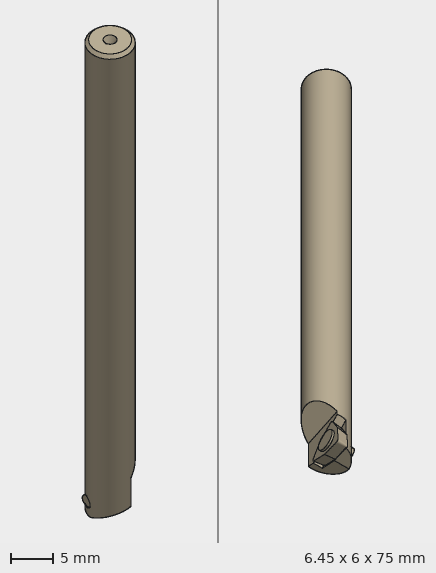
import cadquery as cq
import math

bar_radius = 3.0
bar_top = 75.0
bar_bottom = 0.4
top_chamfer = 0.45
center_hole_radius = 0.8
center_hole_angle = 60.0

gullet_face_y = 0.5
gullet_top = 9.0

relief_angle = 25.0
relief_top = 2.0

insert_face_y = 0.75
insert_floor_y = -0.79
nose_reach = 3.45
nose_radius = 0.4
nose_angle = 80.0
clearance_angle = 7.0
corner_radius = 3.2
nose_direction = 226.4
corner_count = 3

screw_radius = 0.8
head_radius = 1.4
head_face_y = 1.05
head_seat_y = -0.15
screw_end_y = -2.6

half_nose = math.radians(nose_angle / 2)
corner_step = 360 / corner_count
kink_radius = corner_radius * math.sin(half_nose) / math.sin(math.radians(corner_step / 2) + half_nose)
nose_center_distance = corner_radius - nose_radius / math.sin(half_nose)
nose_turn = math.radians(nose_direction)
insert_x = nose_radius - nose_reach - nose_center_distance * math.cos(nose_turn)
insert_z = nose_radius - nose_center_distance * math.sin(nose_turn)


def insert_point(radius, direction):
    """Point (x, z) at a polar position about the insert centre."""
    turn = math.radians(direction)
    return insert_x + radius * math.cos(turn), insert_z + radius * math.sin(turn)


def beyond(start, end, distance):
    """Point reached by going on past end, along the line from start."""
    length = math.dist(start, end)
    return tuple(e + (e - s) * distance / length for s, e in zip(start, end))


def plane_at(y):
    """XZ workplane at the given Y; extruding from it goes towards -Y."""
    return cq.Workplane("XZ", origin=(0, y, 0))


def cylinder_along_y(radius, y_from, y_to):
    """Cylinder on the insert axis, from y_from down to y_to."""
    return plane_at(y_from).center(insert_x, insert_z).circle(radius).extrude(y_from - y_to)


def make_screw():
    head = cylinder_along_y(head_radius, head_face_y, head_seat_y)
    return head.union(cylinder_along_y(screw_radius, head_seat_y, screw_end_y))


def make_insert():
    tangent_length = nose_radius / math.tan(half_nose)
    outline = None
    for i in range(corner_count):
        direction = nose_direction + i * corner_step
        corner = insert_point(corner_radius, direction)
        kink_before = insert_point(kink_radius, direction - corner_step / 2)
        kink_after = insert_point(kink_radius, direction + corner_step / 2)
        arc_start = beyond(kink_before, corner, -tangent_length)
        arc_middle = insert_point(nose_center_distance + nose_radius, direction)
        arc_end = beyond(kink_after, corner, -tangent_length)
        if outline is None:
            outline = plane_at(insert_face_y).moveTo(*arc_start)
        else:
            outline = outline.lineTo(*arc_start)
        outline = outline.threePointArc(arc_middle, arc_end).lineTo(*kink_after)
    body = outline.close().extrude(insert_face_y - insert_floor_y, taper=clearance_angle)
    head_recess = cylinder_along_y(head_radius, insert_face_y, head_seat_y)
    shank_hole = cylinder_along_y(screw_radius, insert_face_y, insert_floor_y)
    return body.cut(head_recess).cut(shank_hole)


def gullet_cutter():
    """Flat with a 45 degree run-out, cut from the +Y side."""
    depth = bar_radius - gullet_face_y
    return (
        cq.Workplane("YZ", origin=(-bar_radius, 0, 0))
        .moveTo(bar_radius, gullet_top)
        .lineTo(gullet_face_y, gullet_top - depth)
        .lineTo(gullet_face_y, 0)
        .lineTo(bar_radius, 0)
        .close()
        .extrude(2 * bar_radius)
    )


def relief_cutter():
    drop = 2 * bar_radius * math.tan(math.radians(relief_angle))
    return (
        plane_at(bar_radius)
        .moveTo(bar_radius, relief_top)
        .lineTo(-bar_radius, relief_top - drop)
        .lineTo(bar_radius, relief_top - drop)
        .close()
        .extrude(2 * bar_radius)
    )


def pocket_cutter():
    """Insert seat: its wall follows the two insert edges turned away from the nose."""
    top_corner = insert_point(corner_radius, nose_direction - corner_step)
    back_kink = insert_point(kink_radius, nose_direction + 180)
    low_corner = insert_point(corner_radius, nose_direction + corner_step)
    run_out = bar_radius
    wall_start = beyond(back_kink, top_corner, run_out)
    wall_end = beyond(back_kink, low_corner, run_out)
    outside = (wall_start[0], wall_end[1])
    return (
        plane_at(insert_face_y)
        .polyline([wall_start, back_kink, wall_end, outside])
        .close()
        .extrude(insert_face_y - insert_floor_y)
    )


def center_hole_cutter():
    depth = center_hole_radius / math.tan(math.radians(center_hole_angle / 2))
    return cq.Workplane(cq.Solid.makeCone(0, center_hole_radius, depth, pnt=cq.Vector(0, 0, bar_top - depth)))


def make_bar():
    bar = cq.Workplane("XY", origin=(0, 0, bar_bottom)).circle(bar_radius).extrude(bar_top - bar_bottom)
    bar = bar.faces(">Z").chamfer(top_chamfer)
    bar = bar.cut(center_hole_cutter()).cut(gullet_cutter()).cut(relief_cutter()).cut(pocket_cutter())
    return bar.cut(cylinder_along_y(screw_radius, insert_floor_y, -bar_radius))


bar = make_bar()
insert = make_insert()
screw = make_screw()

result = cq.Compound.makeCompound([bar.solids().val(), insert.solids().val(), screw.solids().val()])